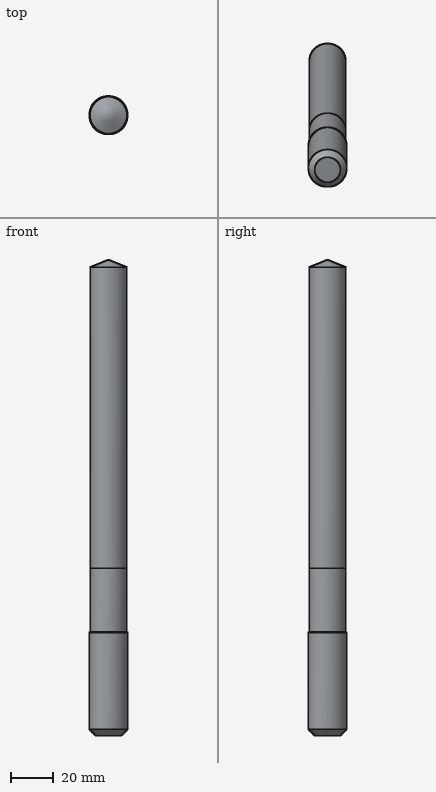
import cadquery as cq

total_length = 222.0

grip_radius = 9.0
foot_chamfer = 3.0
shoulder_height = 48.5
shoulder_chamfer = 0.5
joint_height = 78.0

shaft_radius = 8.6
tip_height = 3.5


def make_base():
    """Revolved grip and neck, from the foot up to the joint with the rod."""
    foot_radius = grip_radius - foot_chamfer
    return (
        cq.Workplane("XZ")
        .lineTo(foot_radius, 0)
        .lineTo(grip_radius, foot_chamfer)
        .lineTo(grip_radius, shoulder_height - shoulder_chamfer)
        .lineTo(shaft_radius, shoulder_height)
        .lineTo(shaft_radius, joint_height)
        .lineTo(0, joint_height)
        .close()
        .revolve(360, (0, 0), (0, 1))
    )


def make_rod():
    """Revolved shaft standing on the base, ending in a pointed cone."""
    return (
        cq.Workplane("XZ")
        .moveTo(0, joint_height)
        .lineTo(shaft_radius, joint_height)
        .lineTo(shaft_radius, total_length - tip_height)
        .lineTo(0, total_length)
        .close()
        .revolve(360, (0, 0), (0, 1))
    )


base = make_base()
rod = make_rod()

result = cq.Compound.makeCompound([base.val(), rod.val()])